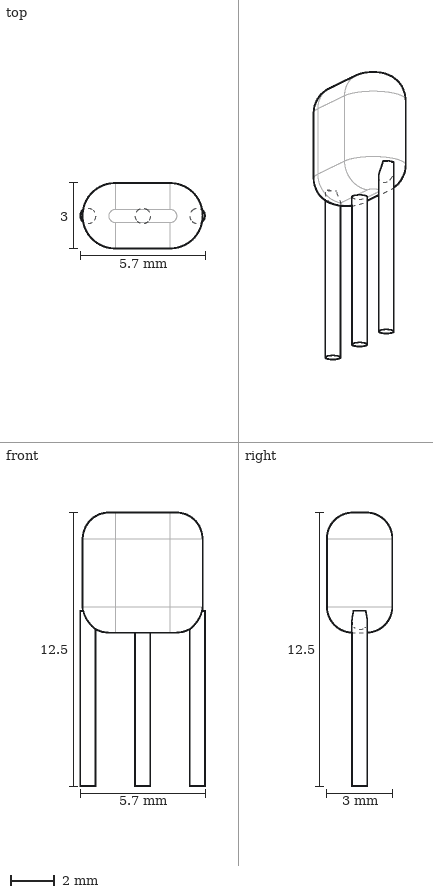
import cadquery as cq

BODY_WIDTH = 5.5
BODY_DEPTH = 3.0
BODY_HEIGHT = 5.5
RIM_RADIUS = 1.2

LEAD_DIAMETER = 0.7
LEAD_PITCH = 2.5
LEAD_COUNT = 3
LEAD_EXPOSED = 7.0
LEAD_EMBEDDED = 1.0


def make_body():
    """Stadium block standing on Z = 0, with both rims rounded."""
    return (
        cq.Workplane("XY")
        .slot2D(BODY_WIDTH, BODY_DEPTH)
        .extrude(BODY_HEIGHT)
        .faces("<Z or >Z")
        .edges()
        .fillet(RIM_RADIUS)
    )


def make_lead(x):
    """Round lead centred at the given X, reaching up into the body."""
    return (
        cq.Workplane("XY", origin=(x, 0, -LEAD_EXPOSED))
        .circle(LEAD_DIAMETER / 2)
        .extrude(LEAD_EXPOSED + LEAD_EMBEDDED)
    )


result = make_body()
for index in range(LEAD_COUNT):
    lead_x = (index - (LEAD_COUNT - 1) / 2) * LEAD_PITCH
    result = result.union(make_lead(lead_x))